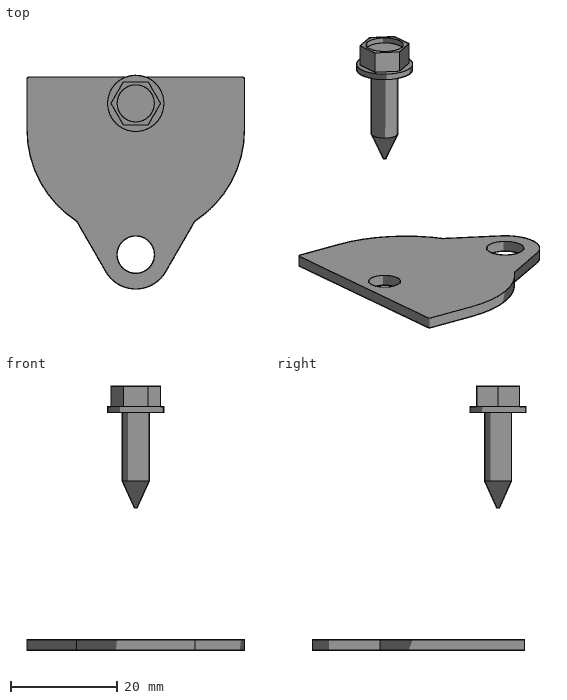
import cadquery as cq
import math

plate_width = 41.0
plate_length = 40.0
plate_thickness = 2.0
corner_radius = 0.5
straight_side = 10.0
shoulder_radius = plate_width / 2
tongue_radius = 6.5
taper_angle = math.radians(30)
tongue_hole_diameter = 7.0
screw_hole_diameter = 6.0
screw_hole_edge_distance = 5.0

top_height = 49.78
hex_across_flats = 8.1
hex_height = 3.9
recess_diameter = 7.0
recess_depth = 1.0
flange_diameter = 10.6
flange_thickness = 1.1
shank_diameter = 5.1
shank_length = 12.9
point_length = 5.1
point_tip_diameter = 0.5

plate_top_edge = screw_hole_edge_distance
shoulder_center_y = plate_top_edge - straight_side
tongue_center_y = plate_top_edge - plate_length + tongue_radius


def on_circle(center_y, radius, angle):
    """Point on a circle centred on the Y axis, angle measured from +X."""
    return (radius * math.cos(angle), center_y + radius * math.sin(angle))


def mirrored(point):
    return (-point[0], point[1])


def through_hole(center_y, diameter):
    return cq.Workplane("XY").center(0, center_y).circle(diameter / 2).extrude(plate_thickness)


def make_plate():
    tangent_point = on_circle(tongue_center_y, tongue_radius, -taper_angle)
    center_spacing = shoulder_center_y - tongue_center_y
    flank_distance = tongue_radius + center_spacing * math.sin(taper_angle)
    junction_angle = -taper_angle - math.acos(flank_distance / shoulder_radius)
    junction = on_circle(shoulder_center_y, shoulder_radius, junction_angle)
    shoulder_middle = on_circle(shoulder_center_y, shoulder_radius, junction_angle / 2)
    shoulder_start = (plate_width / 2, shoulder_center_y)
    top_corner = (plate_width / 2, plate_top_edge)
    tongue_end = (0, plate_top_edge - plate_length)

    plate = (
        cq.Workplane("XY")
        .moveTo(*mirrored(top_corner))
        .lineTo(*top_corner)
        .lineTo(*shoulder_start)
        .threePointArc(shoulder_middle, junction)
        .lineTo(*tangent_point)
        .threePointArc(tongue_end, mirrored(tangent_point))
        .lineTo(*mirrored(junction))
        .threePointArc(mirrored(shoulder_middle), mirrored(shoulder_start))
        .close()
        .extrude(plate_thickness)
    )
    plate = plate.faces(">Y").edges("|Z").fillet(corner_radius)
    plate = plate.cut(through_hole(0, screw_hole_diameter))
    return plate.cut(through_hole(tongue_center_y, tongue_hole_diameter))


def make_screw():
    flange_top = top_height - hex_height
    flange_bottom = flange_top - flange_thickness
    shank_bottom = flange_bottom - shank_length
    tip = shank_bottom - point_length
    turned_body = (
        cq.Workplane("XZ")
        .moveTo(0, flange_top)
        .lineTo(flange_diameter / 2, flange_top)
        .lineTo(flange_diameter / 2, flange_bottom)
        .lineTo(shank_diameter / 2, flange_bottom)
        .lineTo(shank_diameter / 2, shank_bottom)
        .lineTo(point_tip_diameter / 2, tip)
        .lineTo(0, tip)
        .close()
        .revolve(360, (0, 0, 0), (0, 1, 0))
    )
    hex_across_corners = hex_across_flats / math.cos(math.pi / 6)
    head = (
        cq.Workplane("XY", origin=(0, 0, flange_top))
        .polygon(6, hex_across_corners)
        .extrude(hex_height)
    )
    recess = (
        cq.Workplane("XY", origin=(0, 0, top_height - recess_depth))
        .circle(recess_diameter / 2)
        .extrude(recess_depth)
    )
    return turned_body.union(head).cut(recess)


plate = make_plate()
screw = make_screw()

result = cq.Compound.makeCompound([plate.val(), *screw.vals()])